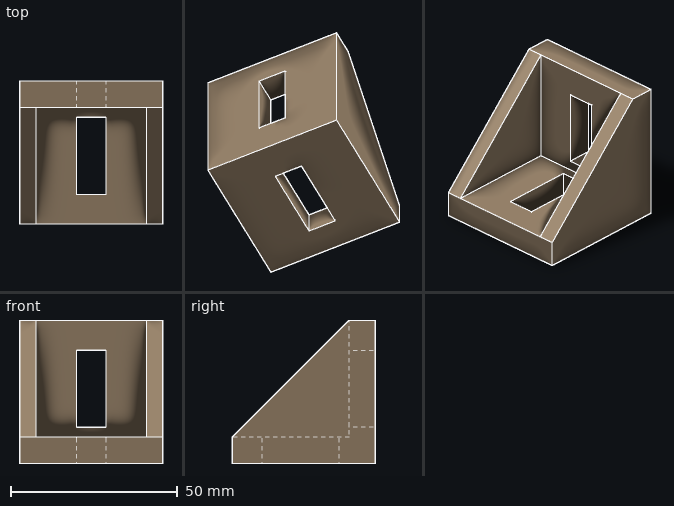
import cadquery as cq

side = 43.0
plate_thickness = 8.0
rib_thickness = 5.0

slot_width = 8.75
slot_length = 23.0
slot_corner_offset = 11.0

half_side = side / 2
slot_centre = slot_corner_offset + slot_length / 2
inner_width = side - 2 * rib_thickness


def side_profile():
    """Bracket outline in Y-Z, with the outer corner at the back bottom."""
    return (
        cq.Workplane("YZ")
        .moveTo(-half_side, -half_side)
        .lineTo(half_side, -half_side)
        .lineTo(half_side, half_side)
        .lineTo(half_side - plate_thickness, half_side)
        .lineTo(-half_side, -half_side + plate_thickness)
        .close()
    )


def box_at(size, centre):
    return cq.Workplane("XY").box(*size).translate(centre)


body = side_profile().extrude(half_side, both=True)

inner_space = box_at(
    (inner_width, side, side),
    (0, -plate_thickness, plate_thickness),
)

back_slot = box_at(
    (slot_width, plate_thickness * 2, slot_length),
    (0, half_side - plate_thickness / 2, -half_side + slot_centre),
)

base_slot = box_at(
    (slot_width, slot_length, plate_thickness * 2),
    (0, half_side - slot_centre, -half_side + plate_thickness / 2),
)

result = body.cut(inner_space).cut(back_slot).cut(base_slot)